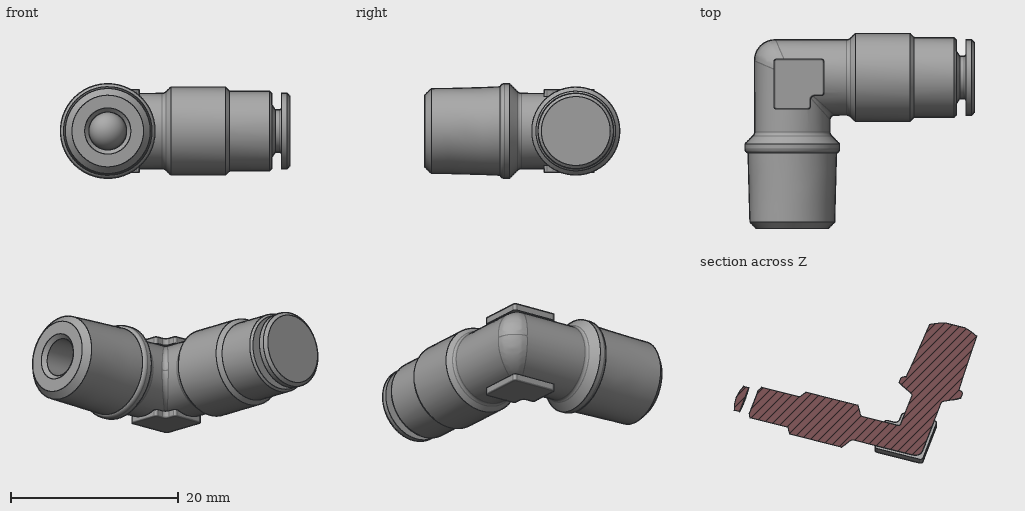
import cadquery as cq
import math

OVERALL_LENGTH = 27.35
OVERALL_WIDTH = 23.25
PIPE_DIAMETER = 9.0
PIPE_RADIUS = PIPE_DIAMETER / 2
OUTER_BEND_RADIUS = 2.45
INNER_BEND_RADIUS = 0.52
JOINT_MARGIN = 0.27

FLARE_START = 6.48
FLARE_ARC_RADIUS = 0.65
FLARE_ANGLE = math.radians(45)

RING_DIAMETER = 11.3
RING_RADIUS = RING_DIAMETER / 2

SLEEVE_RADIUS = 5.25
SLEEVE_END = 14.0
SOCKET_DIAMETER = 9.5
SOCKET_RADIUS = SOCKET_DIAMETER / 2
SOCKET_END = 19.53
SOCKET_CHAMFER = 0.27
COLLET_NECK_RADIUS = 2.55
COLLET_BASE_RADIUS = 3.15
COLLET_NECK_START = 19.95
COLLET_FILLET = 0.25
COLLET_FLANGE_RADIUS = 4.5
COLLET_FLANGE_START = 20.68
COLLET_END = OVERALL_LENGTH - RING_RADIUS
COLLET_CHAMFER_LENGTH = 0.35
COLLET_CHAMFER_DEPTH = 0.4

RING_EDGE_LENGTH = 0.5
RING_EDGE_RADIUS = 0.52
RING_END = 9.0
THREAD_TOP_RADIUS = 5.28
THREAD_TIP_RADIUS = 5.05
THREAD_END = OVERALL_WIDTH - SLEEVE_RADIUS
THREAD_CHAMFER = 0.8
BORE_DIAMETER = 4.5
BORE_RADIUS = BORE_DIAMETER / 2
BORE_CHAMFER = 0.5

PAD_START = -2.2
PAD_SIZE = 5.95
PAD_NOTCH = 1.6
PAD_TOP = 4.95
PAD_BASE = 4.1
PAD_CORNER_RADIUS = 0.33
PAD_NOTCH_RADIUS = 0.55
PAD_EDGE_RADIUS = 0.1




def pad_prism():
    """Rounded square block over the corner, notched at its inner corner, through the full height."""
    pad_end = PAD_START + PAD_SIZE
    notch_start = pad_end - PAD_NOTCH
    block = (
        cq.Workplane("XY")
        .moveTo(PAD_START, -PAD_START)
        .lineTo(pad_end, -PAD_START)
        .lineTo(pad_end, -notch_start)
        .lineTo(notch_start + PAD_NOTCH_RADIUS, -notch_start)
        .radiusArc((notch_start, -notch_start - PAD_NOTCH_RADIUS), -PAD_NOTCH_RADIUS)
        .lineTo(notch_start, -pad_end)
        .lineTo(PAD_START, -pad_end)
        .close()
        .extrude(PAD_TOP, both=True)
    )
    square_corners = [(PAD_START, -PAD_START), (pad_end, -PAD_START), (pad_end, -notch_start),
                      (notch_start, -pad_end), (PAD_START, -pad_end)]
    for x, y in square_corners:
        corner_edge = cq.selectors.NearestToPointSelector((x, y, 0))
        block = block.edges(corner_edge).fillet(PAD_CORNER_RADIUS)
    return block


def mitred_pipe(plane, corner_side):
    """Pipe of one arm, cut at the 45 degree plane through the corner."""
    reach = 2 * FLARE_START
    pipe = (
        cq.Workplane(plane)
        .workplane(offset=-FLARE_START)
        .circle(PIPE_RADIUS)
        .extrude(2 * FLARE_START)
    )
    kept_side = (
        cq.Workplane("XY")
        .polyline([(-reach, reach), (reach, -reach), (corner_side * reach, corner_side * reach)])
        .close()
        .extrude(reach, both=True)
    )
    return pipe.intersect(kept_side)


def make_elbow(pads):
    """Two mitred pipes, with the outer and inner edges of the joint rounded.

    The joint edges fade out at the crest, so the crest is lowered under the pads before
    rounding. The pads fill that space again.
    """
    below_crest = PAD_BASE - JOINT_MARGIN
    outer_joint = cq.selectors.BoxSelector(
        (-PIPE_RADIUS, JOINT_MARGIN, -below_crest), (-JOINT_MARGIN, PIPE_RADIUS, below_crest)
    )
    inner_joint = cq.selectors.BoxSelector(
        (JOINT_MARGIN, -PIPE_RADIUS, -below_crest), (PIPE_RADIUS, -JOINT_MARGIN, below_crest)
    )
    elbow = mitred_pipe("YZ", 1).union(mitred_pipe("XZ", -1))
    core_layer = cq.Workplane("XY").box(2 * FLARE_START, 2 * FLARE_START, 2 * PAD_BASE)
    elbow = elbow.cut(pads.cut(core_layer))
    elbow = elbow.edges(outer_joint).fillet(OUTER_BEND_RADIUS)
    return elbow.edges(inner_joint).fillet(INNER_BEND_RADIUS)


def make_pads(pads):
    """Upper and lower pads, with soft outer edges."""
    core_layer = cq.Workplane("XY").box(4 * PAD_SIZE, 4 * PAD_SIZE, 2 * PAD_BASE)
    return pads.faces("|Z").edges().fillet(PAD_EDGE_RADIUS).cut(core_layer)


def start_flare(end_radius):
    """Half profile (position, radius) from the arm axis up to the wide end of its flare."""
    arc_length = FLARE_ARC_RADIUS * math.sin(FLARE_ANGLE)
    arc_rise = FLARE_ARC_RADIUS * (1 - math.cos(FLARE_ANGLE))
    cone_start = (FLARE_START + arc_length, PIPE_RADIUS + arc_rise)
    cone_length = (end_radius - cone_start[1]) / math.tan(FLARE_ANGLE)
    return (
        cq.Workplane("XY")
        .moveTo(FLARE_START, 0)
        .lineTo(FLARE_START, PIPE_RADIUS)
        .radiusArc(cone_start, -FLARE_ARC_RADIUS)
        .lineTo(cone_start[0] + cone_length, end_radius)
    )


def make_tube_arm():
    """Sleeve, socket and release collet, revolved about the X axis."""
    profile = (
        start_flare(SLEEVE_RADIUS)
        .lineTo(SLEEVE_END, SLEEVE_RADIUS)
        .lineTo(SLEEVE_END + SLEEVE_RADIUS - SOCKET_RADIUS, SOCKET_RADIUS)
        .lineTo(SOCKET_END - SOCKET_CHAMFER, SOCKET_RADIUS)
        .lineTo(SOCKET_END, SOCKET_RADIUS - SOCKET_CHAMFER)
        .lineTo(SOCKET_END, COLLET_BASE_RADIUS)
        .lineTo(COLLET_NECK_START, COLLET_NECK_RADIUS)
        .lineTo(COLLET_FLANGE_START - COLLET_FILLET, COLLET_NECK_RADIUS)
        .radiusArc((COLLET_FLANGE_START, COLLET_NECK_RADIUS + COLLET_FILLET), -COLLET_FILLET)
        .lineTo(COLLET_FLANGE_START, COLLET_FLANGE_RADIUS)
        .lineTo(COLLET_END - COLLET_CHAMFER_LENGTH, COLLET_FLANGE_RADIUS)
        .lineTo(COLLET_END, COLLET_FLANGE_RADIUS - COLLET_CHAMFER_DEPTH)
        .lineTo(COLLET_END, 0)
        .close()
    )
    return profile.revolve(360, (0, 0, 0), (1, 0, 0))


def make_thread_arm():
    """Stop ring and tapered thread body, revolved about X and turned to point along -Y."""
    profile = (
        start_flare(RING_RADIUS)
        .lineTo(RING_END - RING_EDGE_LENGTH, RING_RADIUS)
        .radiusArc((RING_END, THREAD_TOP_RADIUS), RING_EDGE_RADIUS)
        .lineTo(THREAD_END - THREAD_CHAMFER, THREAD_TIP_RADIUS)
        .lineTo(THREAD_END, THREAD_TIP_RADIUS - THREAD_CHAMFER)
        .lineTo(THREAD_END, 0)
        .close()
    )
    arm = profile.revolve(360, (0, 0, 0), (1, 0, 0))
    return arm.rotate((0, 0, 0), (0, 0, 1), -90)


def make_bore():
    """Blind bore of the thread arm, chamfered at its mouth, around a domed bottom."""
    bore = cq.Workplane("XZ").circle(BORE_RADIUS).extrude(THREAD_END)
    mouth = (
        cq.Workplane("XZ")
        .workplane(offset=THREAD_END)
        .circle(BORE_RADIUS + BORE_CHAMFER)
        .workplane(offset=-BORE_CHAMFER)
        .circle(BORE_RADIUS)
        .loft()
    )
    dome = cq.Workplane("XY").sphere(BORE_RADIUS)
    return bore.union(mouth).cut(dome)


pad_block = pad_prism()
result = (
    make_elbow(pad_block)
    .union(make_pads(pad_block))
    .union(make_tube_arm())
    .union(make_thread_arm())
    .cut(make_bore())
)